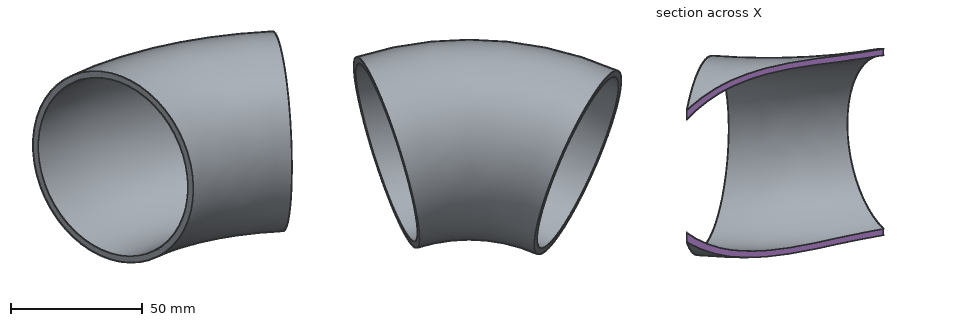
import cadquery as cq

outer_diameter = 76.1
wall_thickness = 2.6
bend_radius = 95.0
bend_angle = 45.0

outer_radius = outer_diameter / 2
inner_radius = outer_radius - wall_thickness

axis_start = (bend_radius, 0)
axis_end = (bend_radius, -1)


def elbow():
    """Sweep the pipe's ring section around the bend axis, from the -Y end toward +Y and +X."""
    section = cq.Workplane("XZ").circle(outer_radius).circle(inner_radius)
    return section.revolve(bend_angle, axis_start, axis_end)


result = elbow()